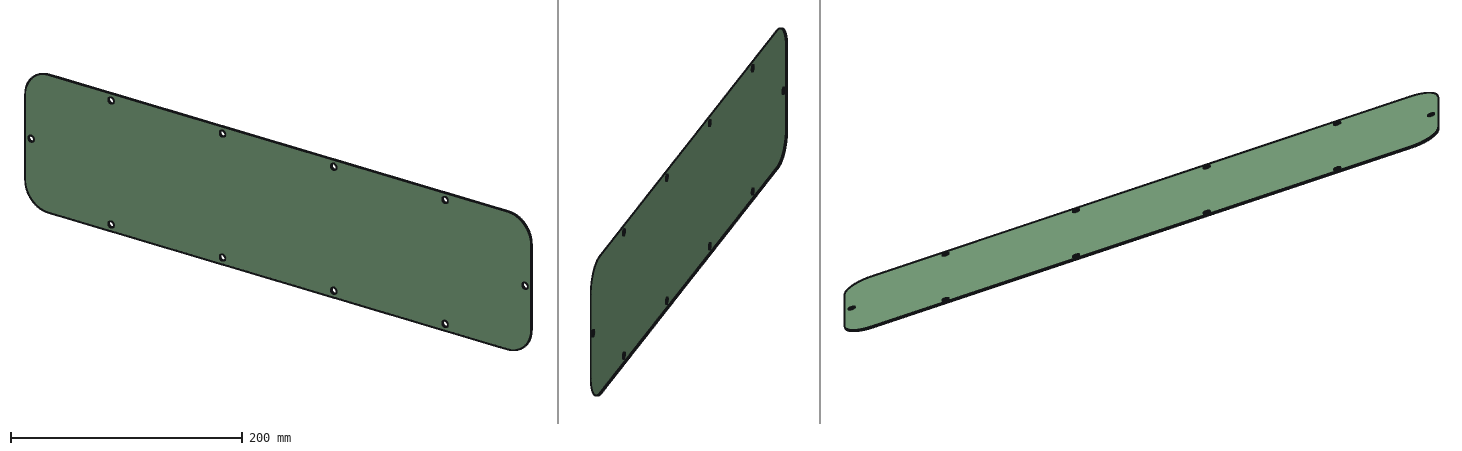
import cadquery as cq

length = 545.0
height = 130.0
thickness = 1.5
corner_radius = 25.0

hole_diameter = 6.0
edge_distance = 6.5
hole_pitch = 120.0
holes_per_row = 4

row_z = height / 2 - edge_distance
end_x = length / 2 - edge_distance


def make_plate():
    """Plate with rounded corners, centred on the origin."""
    plate = cq.Workplane("XY").box(length, thickness, height)
    return plate.edges("|Y").fillet(corner_radius)


def hole_centres():
    """Evenly spaced rows along both long edges, plus one hole at each end."""
    first_x = -hole_pitch * (holes_per_row - 1) / 2
    row_x = [first_x + i * hole_pitch for i in range(holes_per_row)]
    rows = [(x, z) for z in (-row_z, row_z) for x in row_x]
    ends = [(-end_x, 0), (end_x, 0)]
    return rows + ends


def make_hole_cutters():
    """Pins through the full plate thickness."""
    sketch = cq.Workplane("XZ").pushPoints(hole_centres())
    return sketch.circle(hole_diameter / 2).extrude(thickness, both=True)


result = make_plate().cut(make_hole_cutters())